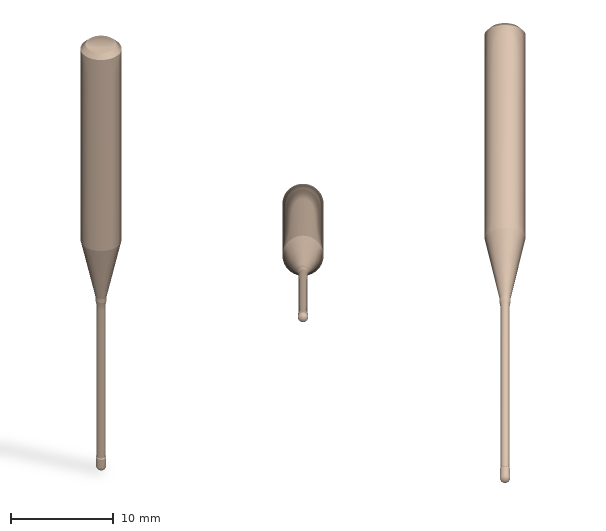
import cadquery as cq
import math

total_length = 50.0
shank_diameter = 4.0
shank_chamfer = 0.5

head_diameter = 1.0
head_length = 1.5

neck_diameter = 0.85
collar_diameter = 1.1
neck_top_z = 19.05
collar_bottom_z = 19.95
collar_top_z = 20.4
shank_bottom_z = 27.05

shank_radius = shank_diameter / 2
head_radius = head_diameter / 2
neck_radius = neck_diameter / 2
collar_radius = collar_diameter / 2

neck_bottom_z = head_length + head_radius - neck_radius


def revolve_about_z(profile):
    """Turn a closed radius-height profile on the XZ plane around the Z axis."""
    return profile.close().revolve(360, (0, 0, 0), (0, 1, 0))


def make_cutting_head():
    """Short cylinder with a hemispherical lower end."""
    arc_middle = head_radius * math.sin(math.pi / 4)
    profile = (
        cq.Workplane("XZ")
        .moveTo(0, 0)
        .threePointArc((arc_middle, head_radius - arc_middle), (head_radius, head_radius))
        .lineTo(head_radius, head_length)
        .lineTo(0, head_length)
    )
    return revolve_about_z(profile)


def make_holder():
    """Neck, concave flare, collar, long taper and chamfered shank, resting on the head."""
    profile = (
        cq.Workplane("XZ")
        .moveTo(0, head_length)
        .lineTo(head_radius, head_length)
        .lineTo(neck_radius, neck_bottom_z)
        .lineTo(neck_radius, neck_top_z)
        .tangentArcPoint((collar_radius, collar_bottom_z), relative=False)
        .lineTo(collar_radius, collar_top_z)
        .lineTo(shank_radius, shank_bottom_z)
        .lineTo(shank_radius, total_length - shank_chamfer)
        .lineTo(shank_radius - shank_chamfer, total_length)
        .lineTo(0, total_length)
    )
    return revolve_about_z(profile)


cutting_head = make_cutting_head()
holder = make_holder()

result = cq.Compound.makeCompound([cutting_head.val(), holder.val()])